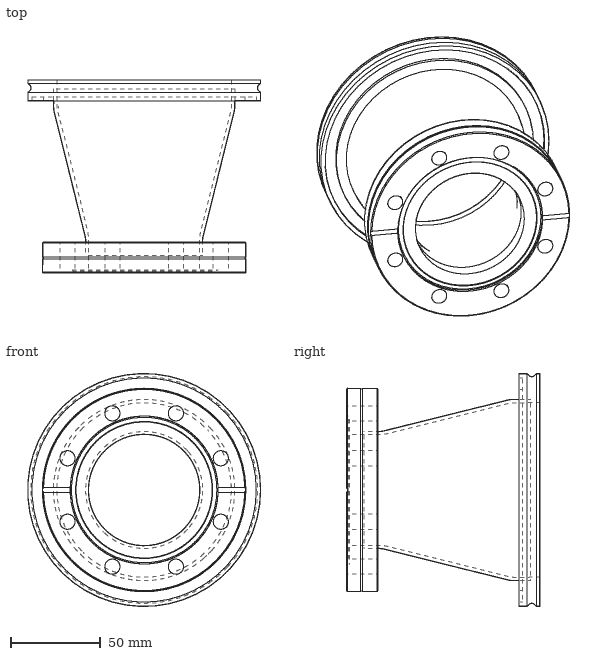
import cadquery as cq

LENGTH = 107.9

SMALL_BORE_RADIUS = 62.0 / 2
SMALL_TUBE_RADIUS = 65.3 / 2
LARGE_BORE_RADIUS = 97.4 / 2
LARGE_TUBE_RADIUS = 101.1 / 2
TUBE_START = 9.8
TUBE_END = 102.7
OUTER_CONE_START = 19.2
OUTER_CONE_END = 91.4
INNER_CONE_START = 21.0
INNER_CONE_END = 91.8
BEND_RADIUS = 9.8

BOLTED_RADIUS = 113.5 / 2
BOLTED_THICKNESS = 17.5
BOLTED_CHAMFER = 0.58
BOLT_COUNT = 8
BOLT_HOLE_DIAMETER = 8.5
BOLT_CIRCLE_RADIUS = 46.3
SEAL_RECESS_RADIUS = 82.5 / 2
SEAL_RECESS_DEPTH = 1.7
KNIFE_FOOT_RADIUS = 40.5
KNIFE_TIP_RADIUS = 38.2
KNIFE_TIP_DEPTH = 0.8
KNIFE_INNER_RADIUS = 38.0
INNER_FACE_DEPTH = 1.2
RIM_GROOVE_START = 7.9
RIM_GROOVE_WIDTH = 1.0
RIM_GROOVE_DEPTH = 0.3
LEAK_GROOVE_WIDTH = 2.6
LEAK_GROOVE_DEPTH = 0.6

CLAMP_RADIUS = 65.0
CLAMP_THICKNESS = 11.8
CLAMP_FACE = LENGTH - CLAMP_THICKNESS
FACE_RECESS_RADIUS = 125.0 / 2
FACE_RECESS_DEPTH = 2.2
HUB_RADIUS = 112.3 / 2
CLAMP_GROOVE_CENTER = LENGTH - 4.5
CLAMP_GROOVE_MOUTH = 5.2
CLAMP_GROOVE_FLOOR = 2.6
CLAMP_GROOVE_SIDE_DEPTH = 1.3
CLAMP_GROOVE_DEPTH = 1.7


def turn(outline):
    """Revolve a closed (radius, Y) outline around the Y axis."""
    return outline.close().revolve(360, (0, 0), (0, 1))


def cylinder(radius, start, end):
    """Solid cylinder on the Y axis."""
    return turn(cq.Workplane("XY").polyline([(0, start), (radius, start), (radius, end), (0, end)]))


def bend_edge(solid, position):
    """Circular edge of a turned solid at the given place along Y."""
    slab = cq.selectors.BoxSelector((-CLAMP_RADIUS, position - 1.3, -CLAMP_RADIUS),
                                    (CLAMP_RADIUS, position + 1.3, CLAMP_RADIUS))
    return solid.edges("%CIRCLE").edges(slab)


def bent_cone(small_radius, large_radius, cone_start, cone_end):
    """Solid cone with a cylindrical stub at each end and rounded bends between."""
    blank = turn(
        cq.Workplane("XY").polyline([
            (0, TUBE_START),
            (small_radius, TUBE_START),
            (small_radius, cone_start),
            (large_radius, cone_end),
            (large_radius, TUBE_END),
            (0, TUBE_END),
        ])
    )
    half_bent = bend_edge(blank, cone_start).fillet(BEND_RADIUS)
    return bend_edge(half_bent, cone_end).fillet(BEND_RADIUS)


def make_reducer_tube():
    outside = bent_cone(SMALL_TUBE_RADIUS, LARGE_TUBE_RADIUS, OUTER_CONE_START, OUTER_CONE_END)
    inside = bent_cone(SMALL_BORE_RADIUS, LARGE_BORE_RADIUS, INNER_CONE_START, INNER_CONE_END)
    return outside.cut(inside)


def seal_recess():
    """Recess with a knife edge: a sloped outer flank and a steep inner flank."""
    return turn(
        cq.Workplane("XY").polyline([
            (0, 0),
            (SEAL_RECESS_RADIUS, 0),
            (SEAL_RECESS_RADIUS, SEAL_RECESS_DEPTH),
            (KNIFE_FOOT_RADIUS, SEAL_RECESS_DEPTH),
            (KNIFE_TIP_RADIUS, KNIFE_TIP_DEPTH),
            (KNIFE_INNER_RADIUS, INNER_FACE_DEPTH),
            (0, INNER_FACE_DEPTH),
        ])
    )


def bolt_holes():
    step = 360 / BOLT_COUNT
    return (
        cq.Workplane("XZ")
        .polarArray(BOLT_CIRCLE_RADIUS, step / 2, 360, BOLT_COUNT)
        .circle(BOLT_HOLE_DIAMETER / 2)
        .extrude(-BOLTED_THICKNESS)
    )


def leak_grooves():
    """Round-bottomed grooves across the face, one on each side of the seal recess."""
    half_width = LEAK_GROOVE_WIDTH / 2
    profile_radius = (half_width**2 + LEAK_GROOVE_DEPTH**2) / (2 * LEAK_GROOVE_DEPTH)
    profile_center = LEAK_GROOVE_DEPTH - profile_radius
    cutter = (
        cq.Workplane("YZ")
        .center(profile_center, 0)
        .circle(profile_radius)
        .extrude(BOLTED_RADIUS, both=True)
    )
    return cutter.cut(cylinder(SEAL_RECESS_RADIUS, -profile_radius, LEAK_GROOVE_DEPTH))


def rim_groove():
    end = RIM_GROOVE_START + RIM_GROOVE_WIDTH
    core = cylinder(BOLTED_RADIUS - RIM_GROOVE_DEPTH, RIM_GROOVE_START, end)
    return cylinder(BOLTED_RADIUS, RIM_GROOVE_START, end).cut(core)


def make_bolted_flange():
    flange = cylinder(BOLTED_RADIUS, 0, BOLTED_THICKNESS).edges("%CIRCLE").chamfer(BOLTED_CHAMFER)
    flange = flange.cut(seal_recess())
    flange = flange.cut(cylinder(SMALL_BORE_RADIUS, 0, TUBE_START))
    flange = flange.cut(cylinder(SMALL_TUBE_RADIUS, TUBE_START, BOLTED_THICKNESS))
    flange = flange.cut(bolt_holes())
    flange = flange.cut(leak_grooves())
    return flange.cut(rim_groove())


def clamp_groove():
    """Rim groove with sloped sides and a hollow floor."""
    half_mouth = CLAMP_GROOVE_MOUTH / 2
    half_floor = CLAMP_GROOVE_FLOOR / 2
    side_radius = CLAMP_RADIUS - CLAMP_GROOVE_SIDE_DEPTH
    return turn(
        cq.Workplane("XY")
        .moveTo(CLAMP_RADIUS, CLAMP_GROOVE_CENTER - half_mouth)
        .lineTo(side_radius, CLAMP_GROOVE_CENTER - half_floor)
        .threePointArc(
            (CLAMP_RADIUS - CLAMP_GROOVE_DEPTH, CLAMP_GROOVE_CENTER),
            (side_radius, CLAMP_GROOVE_CENTER + half_floor),
        )
        .lineTo(CLAMP_RADIUS, CLAMP_GROOVE_CENTER + half_mouth)
    )


def face_recess():
    """Shallow ring recess around the hub."""
    floor = CLAMP_FACE + FACE_RECESS_DEPTH
    return cylinder(FACE_RECESS_RADIUS, CLAMP_FACE, floor).cut(cylinder(HUB_RADIUS, CLAMP_FACE, floor))


def make_clamp_flange():
    flange = cylinder(CLAMP_RADIUS, CLAMP_FACE, LENGTH)
    flange = flange.cut(cylinder(LARGE_TUBE_RADIUS, CLAMP_FACE, TUBE_END))
    flange = flange.cut(cylinder(LARGE_BORE_RADIUS, TUBE_END, LENGTH))
    flange = flange.cut(clamp_groove())
    return flange.cut(face_recess())


reducer_tube = make_reducer_tube()
bolted_flange = make_bolted_flange()
clamp_flange = make_clamp_flange()

result = cq.Compound.makeCompound([reducer_tube.val(), bolted_flange.val(), clamp_flange.val()])